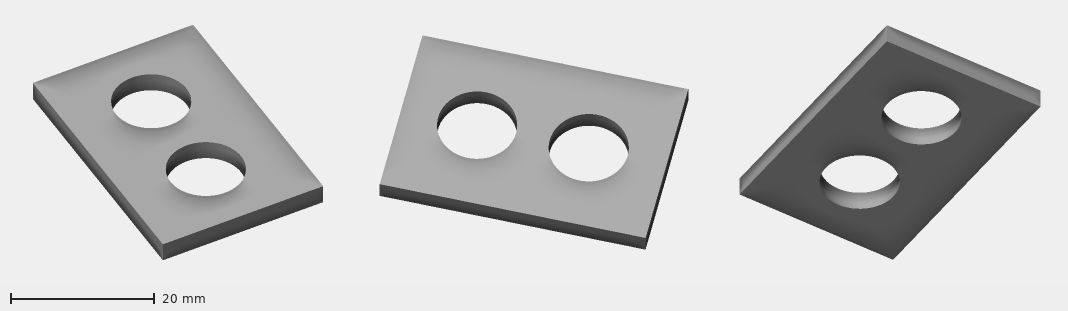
import cadquery as cq

plate_length = 38.1
plate_width = 25.4
plate_thickness = 3.0

hole_diameter = 11.18
hole_spacing = 16.0
hole_pair_offset = 0.15


def make_plate():
    """Flat rectangular plate centred on the origin in X and Y, resting on Z = 0."""
    return cq.Workplane("XY").box(
        plate_length, plate_width, plate_thickness, centered=(True, True, False)
    )


def cut_holes(plate):
    """Cut the two round holes through the plate, side by side along X."""
    hole_centres = [(hole_pair_offset + side * hole_spacing / 2, 0) for side in (-1, 1)]
    return plate.faces(">Z").workplane(origin=(0, 0, 0)).pushPoints(hole_centres).hole(hole_diameter)


result = cut_holes(make_plate())